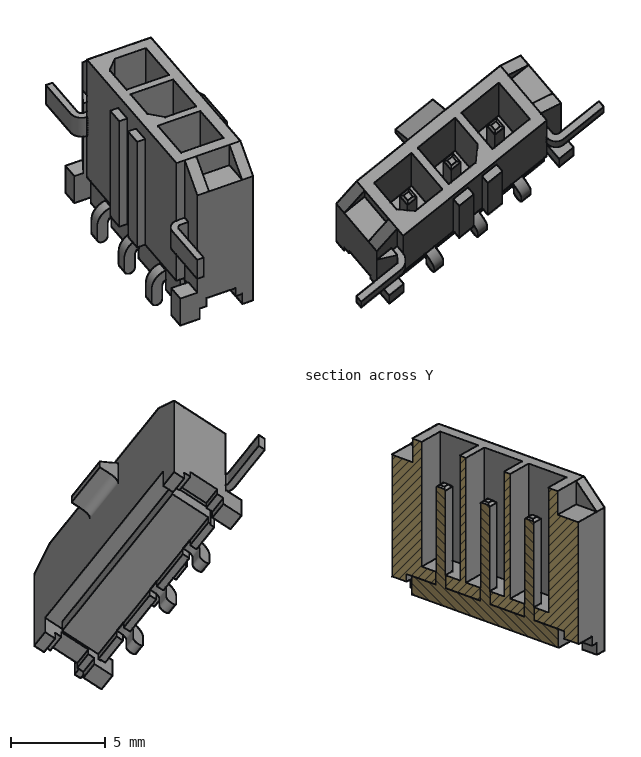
import cadquery as cq


pitch = 3.0
contact_xs = [-pitch, 0, pitch]

shell_half_width = 4.93
shell_depth = 3.86
shell_top = 9.89
shell_bottom = 1.7
front_lip_bottom = 1.85

ear_half_width = 6.33
ear_front = 0.5
ear_wall_inner = 5.33
ear_wall_bottom = 0.7
ear_slope = ear_half_width - shell_half_width
ear_pocket_y = (1.2, 3.2)
ear_cutout_y = (1.05, 2.8)
ear_cutout_top = 1.25

foot_length = 0.65
front_foot_reach = 0.53
wedge_top = 6.61

cavity_size = 2.56
cavity_center_y = 1.91
cavity_floor = 2.5
key_chamfer = 0.7

rib_width = 1.0
rib_center_x = 0.98
rib_depth = 0.48
rib_top = 9.05

latch_width = 2.56
latch_reach = 1.2
latch_top = 9.29
latch_bottom = 7.4
latch_fillet = 0.48

tab_half_span = 8.32
tab_thickness = 0.4
tab_front = -0.62
tab_bend_radius = 0.67
tab_z = (4.66, 5.96)

block_half_width = 4.98
block_back = 3.0
block_bottom = 0.6
skirt_front = 0.23

pin_size = 0.65
pin_tip = 7.66
pin_tip_chamfer = 0.15
tail_front = tab_front
tail_bottom = -0.85
tail_top = 1.33
tail_bend_radius = 0.98


def box(x_range, y_range, z_range):
    """A block given by its limits along each axis."""
    (x0, x1), (y0, y1), (z0, z1) = x_range, y_range, z_range
    return cq.Workplane("XY").box(x1 - x0, y1 - y0, z1 - z0, centered=False).translate((x0, y0, z0))


def mirrored_pair(right_side):
    """A shape on the +X side together with its mirror image on the -X side."""
    return right_side.union(right_side.mirror("YZ"))


def extrude_across(side_profile, width):
    """A closed YZ profile extruded to a width centred on X = 0."""
    return side_profile.extrude(width / 2, both=True)


def make_shell():
    full_width = (-shell_half_width, shell_half_width)
    shell = box(full_width, (0, shell_depth), (shell_bottom, shell_top))
    return shell.cut(box(full_width, (0, ear_front), (shell_bottom, front_lip_bottom)))


def make_ear():
    """The +X ear: a sloped and pocketed top, and an outer wall that stands on two feet."""
    ear = (
        cq.Workplane("XZ")
        .moveTo(shell_half_width, shell_bottom)
        .lineTo(ear_wall_inner, shell_bottom)
        .lineTo(ear_wall_inner, 0)
        .lineTo(ear_half_width, 0)
        .lineTo(ear_half_width, shell_top - ear_slope)
        .lineTo(shell_half_width, shell_top)
        .close()
        .extrude(ear_front - shell_depth)
        .translate((0, ear_front, 0))
    )
    wall_x = (ear_wall_inner, ear_half_width)
    ear = ear.union(box(wall_x, (-front_foot_reach, foot_length), (0, front_lip_bottom)))
    ear = ear.cut(box(wall_x, (foot_length, shell_depth - foot_length), (0, ear_wall_bottom)))
    ear = ear.cut(box(wall_x, ear_cutout_y, (0, ear_cutout_top)))
    return ear.cut(box((shell_half_width, ear_half_width), ear_pocket_y, (shell_top - ear_slope, shell_top)))


def make_wedge():
    """A triangular buttress in front of the -X ear only."""
    return (
        cq.Workplane("XY", origin=(0, 0, front_lip_bottom))
        .moveTo(-ear_half_width, ear_front)
        .lineTo(-ear_wall_inner, ear_front)
        .lineTo(-ear_wall_inner, 0)
        .close()
        .extrude(wedge_top - front_lip_bottom)
    )


def make_ribs():
    rib_x_range = (rib_center_x - rib_width / 2, rib_center_x + rib_width / 2)
    right_rib = box(rib_x_range, (-rib_depth, 0), (front_lip_bottom, rib_top))
    return mirrored_pair(right_rib)


def make_latch():
    latch_back = shell_depth + latch_reach
    profile = (
        cq.Workplane("YZ")
        .moveTo(shell_depth, latch_top)
        .lineTo(latch_back, latch_top - latch_reach)
        .lineTo(latch_back, latch_bottom)
        .lineTo(shell_depth + latch_fillet, latch_bottom)
        .radiusArc((shell_depth, latch_bottom - latch_fillet), -latch_fillet)
        .close()
    )
    return extrude_across(profile, latch_width)


def make_tab():
    """The +X solder tab: a strip that leaves the ear forwards and bends outwards."""
    inner_radius = tab_bend_radius - tab_thickness
    bend_x = shell_half_width + tab_bend_radius
    bend_y = tab_front + tab_bend_radius
    return (
        cq.Workplane("XY", origin=(0, 0, tab_z[0]))
        .moveTo(shell_half_width, ear_front)
        .lineTo(shell_half_width, bend_y)
        .radiusArc((bend_x, tab_front), -tab_bend_radius)
        .lineTo(tab_half_span, tab_front)
        .lineTo(tab_half_span, tab_front + tab_thickness)
        .lineTo(bend_x, tab_front + tab_thickness)
        .radiusArc((bend_x - inner_radius, bend_y), inner_radius)
        .lineTo(bend_x - inner_radius, ear_front)
        .close()
        .extrude(tab_z[1] - tab_z[0])
    )


def make_cavities():
    """The three plug cavities; the left and middle ones have one keyed front corner each."""
    key_corners = ["<X and <Y", ">X and <Y", None]
    cavities = cq.Workplane("XY")
    for x, corner in zip(contact_xs, key_corners):
        cavity = (
            cq.Workplane("XY", origin=(x, cavity_center_y, cavity_floor))
            .rect(cavity_size, cavity_size)
            .extrude(shell_top - cavity_floor)
        )
        if corner:
            cavity = cavity.edges("|Z").edges(corner).chamfer(key_chamfer)
        cavities = cavities.add(cavity)
    return cavities.combine()


def make_pin_holes():
    """Square holes through the cavity floors, matching the pin posts."""
    return (
        cq.Workplane("XY", origin=(0, cavity_center_y, shell_bottom))
        .pushPoints([(x, 0) for x in contact_xs])
        .rect(pin_size, pin_size)
        .extrude(cavity_floor - shell_bottom)
    )


def make_housing():
    housing = make_shell().union(mirrored_pair(make_ear())).union(make_wedge())
    housing = housing.union(make_ribs()).union(make_latch())
    housing = housing.union(mirrored_pair(make_tab()))
    return housing.cut(make_cavities()).cut(make_pin_holes())


def make_pin():
    """One pin at X = 0: a straight post with a tapered tip, and a tail bent down at the front."""
    post = (
        cq.Workplane("XY", origin=(0, cavity_center_y, block_bottom))
        .rect(pin_size, pin_size)
        .extrude(pin_tip - block_bottom)
        .faces(">Z")
        .chamfer(pin_tip_chamfer)
    )
    tail_back = tail_front + pin_size
    tip_radius = pin_size / 2
    tip_z = tail_bottom + tip_radius
    bend_y = tail_front + tail_bend_radius
    bend_z = tail_top - tail_bend_radius
    inner_radius = tail_bend_radius - pin_size
    tail_profile = (
        cq.Workplane("YZ")
        .moveTo(cavity_center_y, tail_top)
        .lineTo(bend_y, tail_top)
        .radiusArc((tail_front, bend_z), -tail_bend_radius)
        .lineTo(tail_front, tip_z)
        .threePointArc((tail_front + tip_radius, tail_bottom), (tail_back, tip_z))
        .lineTo(tail_back, bend_z)
        .radiusArc((bend_y, tail_top - pin_size), inner_radius)
        .lineTo(cavity_center_y, tail_top - pin_size)
        .close()
    )
    return post.union(extrude_across(tail_profile, pin_size))


def make_contact_block():
    """The block under the shell, its narrower slotted front skirt and the three pins."""
    block_profile = (
        cq.Workplane("YZ")
        .moveTo(ear_front, 0)
        .lineTo(foot_length, 0)
        .lineTo(foot_length, block_bottom)
        .lineTo(block_back, block_bottom)
        .lineTo(block_back, shell_bottom)
        .lineTo(ear_front, shell_bottom)
        .close()
    )
    block = extrude_across(block_profile, 2 * block_half_width)
    skirt = box((-shell_half_width, shell_half_width), (skirt_front, ear_front), (0, front_lip_bottom))
    block = block.union(skirt)
    for x in contact_xs:
        tail_slot = box((x - pin_size / 2, x + pin_size / 2), (skirt_front, foot_length), (0, tail_top))
        block = block.cut(tail_slot).union(make_pin().translate((x, 0, 0)))
    return block


housing = make_housing()
contact_block = make_contact_block()

result = cq.Compound.makeCompound([housing.solids().val(), contact_block.solids().val()])